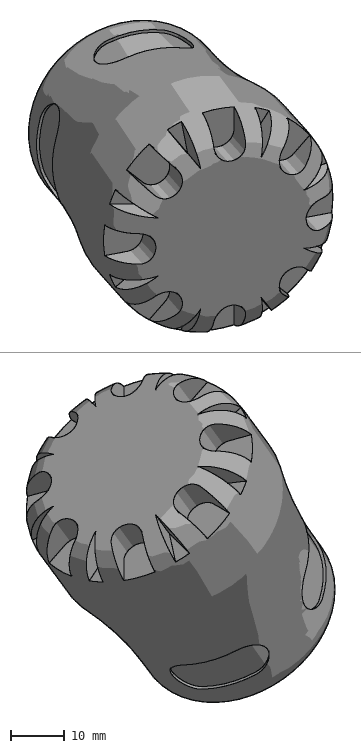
import cadquery as cq
import math

length = 59.75
body_radius = 23.5
neck_radius = 20.0

dome_rim_x = 5.4
neck_start_x = 9.2
flare_start_x = 11.7
flare_end_x = 39.1
body_start_x = 40.3
body_end_x = 51.9

dome_rim_radius = 17.95
flare_end_radius = 23.35

window_count = 4
window_start_x = 12.3
window_width = 8.7
window_length = 19.6
window_floor_radius = 19.4

groove_count = 8
groove_start_x = 53.45
wide_groove_width = 6.45
wide_groove_centre_radius = 18.5
narrow_groove_width = 3.15
narrow_groove_floor_radius = 16.15

cut_reach = 29.9
groove_length = length - groove_start_x + 0.6


def dome_midpoint():
    """Point halfway along the dome arc, which starts on the axis."""
    dome_radius = (dome_rim_x**2 + dome_rim_radius**2) / (2 * dome_rim_x)
    half_angle = math.asin(dome_rim_radius / dome_radius) / 2
    return dome_radius * (1 - math.cos(half_angle)), dome_radius * math.sin(half_angle)


def shoulder_midpoint():
    """Point halfway along the shoulder arc, which is tangent to the neck."""
    run = neck_start_x - dome_rim_x
    drop = neck_radius - dome_rim_radius
    shoulder_radius = (run**2 + drop**2) / (2 * drop)
    half_angle = math.asin(run / shoulder_radius) / 2
    return (
        neck_start_x - shoulder_radius * math.sin(half_angle),
        neck_radius - shoulder_radius * (1 - math.cos(half_angle)),
    )


def make_body():
    """Revolve the half profile about the X axis."""
    end_radius = length - body_end_x
    bend = math.sqrt(0.5)
    end_mid = (body_end_x + end_radius * bend, body_radius - end_radius * (1 - bend))
    profile = (
        cq.Workplane("XY")
        .moveTo(0, 0)
        .threePointArc(dome_midpoint(), (dome_rim_x, dome_rim_radius))
        .threePointArc(shoulder_midpoint(), (neck_start_x, neck_radius))
        .lineTo(flare_start_x, neck_radius)
        .tangentArcPoint((flare_end_x, flare_end_radius), relative=False)
        .tangentArcPoint((body_start_x, body_radius), relative=False)
        .lineTo(body_end_x, body_radius)
        .threePointArc(end_mid, (length, body_radius - end_radius))
        .lineTo(length, 0)
        .close()
    )
    return profile.revolve(360, (0, 0, 0), (1, 0, 0))


def around_axis(cutter, count, first_angle=0.0):
    """Copies of a cutter spaced evenly about the X axis."""
    return [
        cutter.rotate((0, 0, 0), (1, 0, 0), first_angle + i * 360 / count)
        for i in range(count)
    ]


def window_cutter():
    """Round-ended window whose floor follows a cylinder about the X axis."""
    window = (
        cq.Workplane("XY", origin=(window_start_x + window_width / 2, 0, 0))
        .slot2D(window_length, window_width, 90)
        .extrude(cut_reach)
    )
    core = cq.Workplane("YZ").circle(window_floor_radius).extrude(length)
    return window.cut(core)


def wide_groove_cutter():
    """Radial groove with parallel walls and a half-round floor."""
    half = wide_groove_width / 2
    return (
        cq.Workplane("YZ", origin=(groove_start_x, 0, 0))
        .moveTo(-half, cut_reach)
        .lineTo(-half, wide_groove_centre_radius)
        .threePointArc((0, wide_groove_centre_radius - half), (half, wide_groove_centre_radius))
        .lineTo(half, cut_reach)
        .close()
        .extrude(groove_length)
    )


def narrow_groove_cutter():
    """Groove with flat walls that taper to a sharp line at its floor."""
    depth = body_radius - narrow_groove_floor_radius
    half_at_reach = narrow_groove_width / 2 * (cut_reach - narrow_groove_floor_radius) / depth
    return (
        cq.Workplane("YZ", origin=(groove_start_x, 0, 0))
        .moveTo(0, narrow_groove_floor_radius)
        .lineTo(half_at_reach, cut_reach)
        .lineTo(-half_at_reach, cut_reach)
        .close()
        .extrude(groove_length)
    )


result = make_body()
cutters = around_axis(window_cutter(), window_count)
cutters += around_axis(wide_groove_cutter(), groove_count)
cutters += around_axis(narrow_groove_cutter(), groove_count, 180 / groove_count)
for cutter in cutters:
    result = result.cut(cutter)